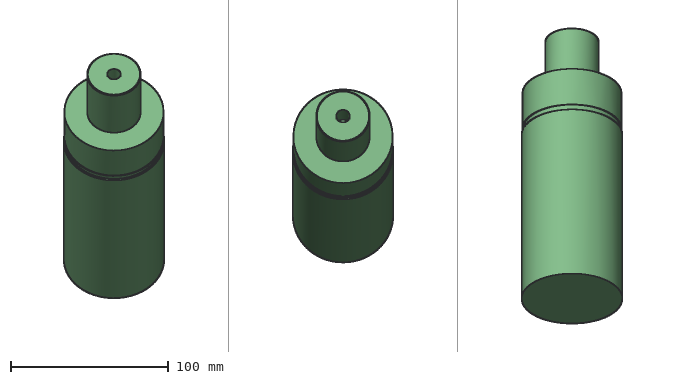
import cadquery as cq

total_height = 188.0
body_diameter = 64.0
body_height = 120.0
shoulder_height = 0.5
neck_diameter = 62.0
collar_diameter = 63.0
collar_bottom = 123.9
collar_height = 26.0
rod_diameter = 34.0
rod_edge_chamfer = 0.5
hole_diameter = 8.5
hole_depth = 18.8

body_radius = body_diameter / 2
neck_radius = neck_diameter / 2
collar_radius = collar_diameter / 2
rod_radius = rod_diameter / 2
shoulder_top = body_height + shoulder_height
collar_top = collar_bottom + collar_height

half_section = (
    cq.Workplane("XZ")
    .moveTo(0, 0)
    .lineTo(body_radius, 0)
    .lineTo(body_radius, body_height)
    .lineTo(neck_radius, shoulder_top)
    .lineTo(neck_radius, collar_bottom)
    .lineTo(collar_radius, collar_bottom)
    .lineTo(collar_radius, collar_top)
    .lineTo(rod_radius, collar_top)
    .lineTo(rod_radius, total_height)
    .lineTo(0, total_height)
    .close()
)
result = half_section.revolve(360, (0, 0, 0), (0, 1, 0))

result = result.faces(">Z").edges().chamfer(rod_edge_chamfer)

result = result.faces(">Z").workplane(origin=(0, 0, total_height)).hole(hole_diameter, hole_depth)